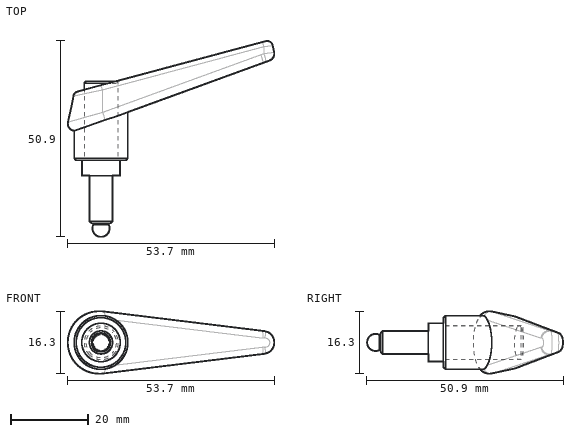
import cadquery as cq
import math


HUB_RADIUS = 7.0
HUB_BOTTOM = 3.9
HUB_TOP = 18.25
HUB_CHAMFER = 0.55

LEVER_DRAFT = 12.0
LEVER_REFERENCE_Y = 13.8
LEVER_ROOT_RADIUS = 8.65
LEVER_TIP_RADIUS = 6.75
LEVER_TIP_X = 42.1
TOP_SLOPE = 15.0
TOP_AT_AXIS = 23.45
BOTTOM_SLOPE = 20.0
BOTTOM_AT_AXIS = 13.9
TOP_FILLET = 1.5
BOTTOM_FILLET = 1.95
BLANK_LOW = 8.05
BLANK_HIGH = 37.6
PROFILE_LEFT = -16.1
PROFILE_RIGHT = 59.1
PROFILE_HALF_WIDTH = 16.1

BUTTON_RADIUS = 4.4
BUTTON_TOP = 24.5
BUTTON_CHAMFER = 0.5
COLLAR_RADIUS = 5.0
SHANK_RADIUS = 3.0
SHANK_END = -12.4
SHANK_CHAMFER = 0.55
NECK_RADIUS = 2.05
BALL_RADIUS = 2.25
BALL_CENTER = -13.7


def xz_plane(y):
    """Plane at height y whose local axes are X and Z."""
    return cq.Plane(origin=(0, y, 0), xDir=(1, 0, 0), normal=(0, -1, 0))


def lever_outline(y):
    """Two arcs around root and tip joined by their common tangents, at height y."""
    shrink = (y - LEVER_REFERENCE_Y) * math.tan(math.radians(LEVER_DRAFT))
    root = LEVER_ROOT_RADIUS - shrink
    tip = LEVER_TIP_RADIUS - shrink
    sine = (LEVER_ROOT_RADIUS - LEVER_TIP_RADIUS) / LEVER_TIP_X
    cosine = math.sqrt(1 - sine**2)
    return (
        cq.Workplane(xz_plane(y))
        .moveTo(root * sine, root * cosine)
        .lineTo(LEVER_TIP_X + tip * sine, tip * cosine)
        .threePointArc((LEVER_TIP_X + tip, 0), (LEVER_TIP_X + tip * sine, -tip * cosine))
        .lineTo(root * sine, -root * cosine)
        .threePointArc((-root, 0), (root * sine, root * cosine))
        .close()
        .val()
    )


def sloping_height(x, height_at_axis, slope):
    return height_at_axis + x * math.tan(math.radians(slope))


def facing_slope(slope):
    """Selector for the flat face that rises toward +X at the given slope."""
    angle = math.radians(slope)
    return cq.selectors.ParallelDirSelector(cq.Vector(-math.sin(angle), math.cos(angle), 0))


def make_lever():
    blank = cq.Workplane(
        cq.Solid.makeLoft([lever_outline(BLANK_LOW), lever_outline(BLANK_HIGH)], True)
    )
    between_slopes = (
        cq.Workplane("XY")
        .polyline([
            (PROFILE_LEFT, sloping_height(PROFILE_LEFT, BOTTOM_AT_AXIS, BOTTOM_SLOPE)),
            (PROFILE_RIGHT, sloping_height(PROFILE_RIGHT, BOTTOM_AT_AXIS, BOTTOM_SLOPE)),
            (PROFILE_RIGHT, sloping_height(PROFILE_RIGHT, TOP_AT_AXIS, TOP_SLOPE)),
            (PROFILE_LEFT, sloping_height(PROFILE_LEFT, TOP_AT_AXIS, TOP_SLOPE)),
        ])
        .close()
        .extrude(PROFILE_HALF_WIDTH, both=True)
    )
    lever = blank.intersect(between_slopes)
    lever = lever.faces(facing_slope(TOP_SLOPE)).edges().fillet(TOP_FILLET)
    return lever.faces(facing_slope(BOTTOM_SLOPE)).edges().fillet(BOTTOM_FILLET)


def make_hub():
    return (
        cq.Workplane(xz_plane(HUB_BOTTOM))
        .circle(HUB_RADIUS)
        .extrude(HUB_BOTTOM - HUB_TOP)
        .faces("<Y")
        .chamfer(HUB_CHAMFER)
    )


def make_handle():
    bore = cq.Workplane(xz_plane(HUB_BOTTOM)).circle(BUTTON_RADIUS).extrude(HUB_BOTTOM - BLANK_HIGH)
    return make_lever().union(make_hub()).cut(bore)


def make_insert():
    neck_to_center = math.sqrt(BALL_RADIUS**2 - NECK_RADIUS**2)
    return (
        cq.Workplane("XY")
        .moveTo(0, BUTTON_TOP)
        .lineTo(BUTTON_RADIUS - BUTTON_CHAMFER, BUTTON_TOP)
        .lineTo(BUTTON_RADIUS, BUTTON_TOP - BUTTON_CHAMFER)
        .lineTo(BUTTON_RADIUS, HUB_BOTTOM)
        .lineTo(COLLAR_RADIUS, HUB_BOTTOM)
        .lineTo(COLLAR_RADIUS, 0)
        .lineTo(SHANK_RADIUS, 0)
        .lineTo(SHANK_RADIUS, SHANK_END + SHANK_CHAMFER)
        .lineTo(SHANK_RADIUS - SHANK_CHAMFER, SHANK_END)
        .lineTo(NECK_RADIUS, SHANK_END)
        .lineTo(NECK_RADIUS, BALL_CENTER + neck_to_center)
        .threePointArc((BALL_RADIUS, BALL_CENTER), (0, BALL_CENTER - BALL_RADIUS))
        .close()
        .revolve(360, (0, 0, 0), (0, 1, 0))
    )


handle = make_handle()
insert = make_insert()
result = cq.Compound.makeCompound([handle.val(), insert.val()])